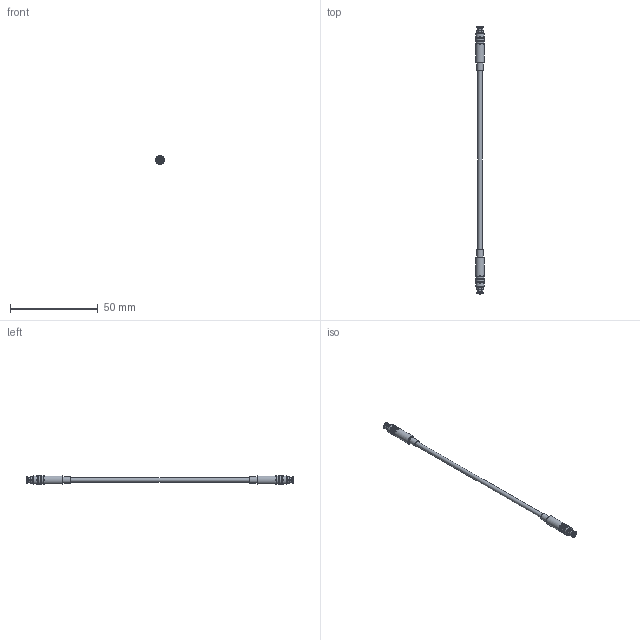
import cadquery as cq


overall_length = 152.4
cable_diameter = 2.5

pin_diameter = 0.5
contact_diameter = 0.96
contact_start = 0.8
insulator_diameter = 2.04
insulator_start = 1.6

mouth = 0.25
flange_diameter = 3.8
flange_bevel = 0.2
flange_end = 0.8
neck_start = 1.2
neck_end = 2.6
neck_diameter = 3.4
collet_diameter = 3.6
relief_start = 3.95
socket_diameter = 2.6
socket_end = 3.4
slot_count = 6
slot_width = 0.4
slot_end = 3.0

sleeve_diameter = 5.0
groove_diameter = 4.6
sleeve_start = 4.35
sleeve_end = 20.65
grip_grooves = [(6.3, 7.1), (9.0, 9.85)]
centre_groove_diameter = 4.8
centre_groove = (8.1, 8.5)

flute_count = 8
flute_width = 0.5
flute_start = 5.8
flute_end = 10.5

stem_diameter = 3.4
ferrule_start = 21.0
ferrule_diameter = 3.6
ferrule_end = 25.5


def cylinder(diameter, start, end):
    """Solid cylinder on the plug axis between two stations."""
    return cq.Workplane("XZ", origin=(0, start, 0)).circle(diameter / 2).extrude(start - end)


def ring(outer_diameter, inner_diameter, start, end):
    """Tube on the plug axis between two stations."""
    return cylinder(outer_diameter, start, end).cut(cylinder(inner_diameter, start, end))


def radial_bars(count, width, inner_radius, outer_radius, start, end):
    """Evenly spaced bars around the plug axis, the first one facing +X."""
    bar = cq.Workplane("XY").box(
        outer_radius - inner_radius, end - start, width, centered=(False, False, True)
    )
    bar = bar.translate((inner_radius, start, 0))
    bars = cq.Workplane("XY")
    for index in range(count):
        bars = bars.add(bar.rotate((0, 0, 0), (0, 1, 0), index * 360 / count))
    return bars.combine()


def make_collet():
    """Slotted tube: bevelled flange, conical back, slim neck and a wider root with a rear relief."""
    profile = [
        (socket_diameter / 2, mouth),
        (flange_diameter / 2 - flange_bevel, mouth),
        (flange_diameter / 2, mouth + flange_bevel),
        (flange_diameter / 2, flange_end),
        (neck_diameter / 2, neck_start),
        (neck_diameter / 2, neck_end),
        (collet_diameter / 2, neck_end),
        (collet_diameter / 2, relief_start),
        (neck_diameter / 2, relief_start),
        (neck_diameter / 2, sleeve_start),
        (0, sleeve_start),
        (0, socket_end),
        (socket_diameter / 2, socket_end),
    ]
    collet = cq.Workplane("XY").polyline(profile).close().revolve(360, (0, 0, 0), (0, 1, 0))
    slots = radial_bars(
        slot_count, slot_width, insulator_diameter / 2, flange_diameter, 0, slot_end
    )
    return collet.cut(slots)


def make_contact():
    """Centre pin stepping up to its contact body and insulator."""
    pin = cylinder(pin_diameter, 0, sleeve_start)
    contact = cylinder(contact_diameter, contact_start, sleeve_start)
    insulator = cylinder(insulator_diameter, insulator_start, sleeve_start)
    return pin.union(contact).union(insulator)


def make_sleeve():
    """Sleeve with circumferential grooves and axial flutes."""
    sleeve = cylinder(sleeve_diameter, sleeve_start, sleeve_end)
    for start, end in grip_grooves:
        sleeve = sleeve.cut(ring(sleeve_diameter, groove_diameter, start, end))
    sleeve = sleeve.cut(ring(sleeve_diameter, centre_groove_diameter, *centre_groove))
    flutes = radial_bars(
        flute_count, flute_width, groove_diameter / 2, sleeve_diameter, flute_start, flute_end
    )
    return sleeve.cut(flutes)


def make_plug():
    """Complete plug with its pin tip at Y = 0 and the cable end towards +Y."""
    stem = cylinder(stem_diameter, sleeve_end, ferrule_start)
    ferrule = cylinder(ferrule_diameter, ferrule_start, ferrule_end)
    plug = make_collet().union(make_contact()).union(make_sleeve())
    return plug.union(stem).union(ferrule)


near_plug = make_plug().translate((0, -overall_length / 2, 0))
far_plug = near_plug.mirror("XZ")
cable_half_length = overall_length / 2 - ferrule_end
cable = cylinder(cable_diameter, -cable_half_length, cable_half_length)

result = cable.union(near_plug).union(far_plug)